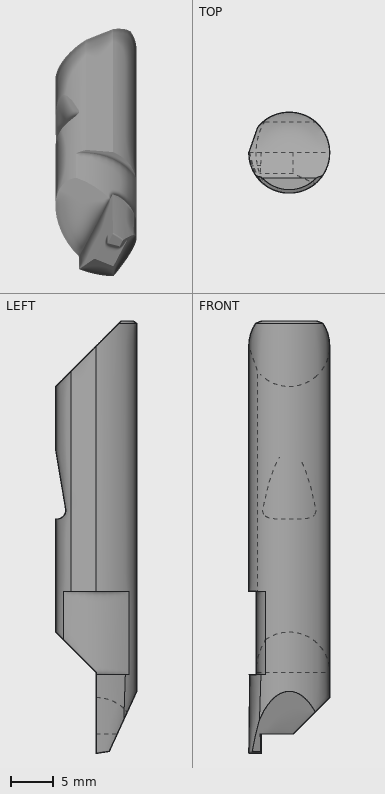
import cadquery as cq
import math

shank_diameter = 9.525
shank_radius = shank_diameter / 2
total_length = 50.8
margin = 5.0
reach = shank_radius + margin

rear_chamfer_height = 0.3
rear_chamfer_width = 0.42
rear_bevel_top_y = -2.95

notch_bottom_z = 27.55
notch_depth = 1.35
notch_ramp_angle = 9.5
notch_fillet = 1.0

flat_end_y = 2.98

neck_bottom_z = 9.27
neck_top_z = 19.05
neck_x = -3.9
neck_radius = 7.3

rake_y = 0.0
rake_runout_z = 9.5
heel_top_z = 7.3
heel_angle = 24.6
nose_bevel_top_z = 6.57
nose_z = 2.27
tip_width = 1.48
tip_side_relief = 3.0
tip_end_relief = 9.0
flank_clearance = 10.7
flank_radius = 10.0
flank_taper = 0.7
tip_corner_radius = 0.15


def tan(angle):
    return math.tan(math.radians(angle))


def cutter_along_x(points):
    """Prism across the full X width from an outline in (Y, Z)."""
    return cq.Workplane("YZ").polyline(points).close().extrude(reach, both=True)


def cutter_along_y(points):
    """Prism across the full Y width from an outline in (X, Z)."""
    return cq.Workplane("XZ").polyline(points).close().extrude(reach, both=True)


def cutter_along_z(points, bottom, top):
    """Prism from an outline in (X, Y) between two heights."""
    base = cq.Workplane("XY").workplane(offset=bottom)
    return base.polyline(points).close().extrude(top - bottom)


def make_shank():
    """Round bar with a chamfered rear end."""
    shank = cq.Workplane("XY").circle(shank_radius).extrude(total_length)
    return shank.faces(">Z").chamfer(rear_chamfer_height, rear_chamfer_width)


def rear_bevel():
    """45 degree bevel across the rear end, rising towards -Y."""
    bevel_end_z = total_length - (reach - rear_bevel_top_y)
    return cutter_along_x([
        (rear_bevel_top_y - margin, total_length + margin),
        (reach, total_length + margin),
        (reach, bevel_end_z),
    ])


def clamping_notch():
    """Ramped notch with a square lower shoulder and a rounded root."""
    floor_y = shank_radius - notch_depth
    ramp_rise = reach - floor_y
    notch = cutter_along_x([
        (floor_y, notch_bottom_z),
        (reach, notch_bottom_z),
        (reach, notch_bottom_z + ramp_rise / tan(notch_ramp_angle)),
    ])
    return notch.edges("|X and <Y").fillet(notch_fillet)


def side_flat():
    """Flat from the -X crest of the shank round to flat_end_y."""
    end_x = -math.sqrt(shank_radius**2 - flat_end_y**2)
    outline = [(-shank_radius, 0), (end_x, flat_end_y), (-shank_radius, flat_end_y)]
    return cutter_along_z(outline, neck_top_z, total_length)


def outside_of_cylinder(centre_x, centre_y, radius, bottom, top):
    """Everything on the -X side of a cylindrical face that bulges towards -X."""
    base = cq.Workplane("XY").workplane(offset=bottom)
    block = base.moveTo(-reach, 0).rect(2 * reach, 2 * reach).extrude(top - bottom)
    return block.cut(base.moveTo(centre_x, centre_y).circle(radius).extrude(top - bottom))


def neck_relief():
    """Shallow convex recess on the -X side between head and shank."""
    return outside_of_cylinder(neck_x + neck_radius, 0, neck_radius, neck_bottom_z, neck_top_z)


def rake_cut():
    """Removes the +Y half of the head, with a 45 degree run-out into the neck."""
    return cutter_along_x([
        (rake_y, -margin),
        (rake_y, rake_runout_z),
        (reach, rake_runout_z + reach - rake_y),
        (reach, -margin),
    ])


def heel_bevel():
    """Slopes the -Y side of the head in towards the tip."""
    bottom_y = -shank_radius + (heel_top_z + margin) * tan(heel_angle)
    return cutter_along_x([
        (-shank_radius, heel_top_z), (bottom_y, -margin), (-shank_radius, -margin),
    ])


def nose_cut():
    """Leaves the narrow tip standing below the nose, with a 45 degree bevel on +X."""
    bevel_end_x = shank_radius - (nose_bevel_top_z - nose_z)
    return cutter_along_y([
        (-shank_radius + tip_width, -margin),
        (-shank_radius + tip_width, nose_z),
        (bevel_end_x, nose_z),
        (shank_radius, nose_bevel_top_z),
        (reach, nose_bevel_top_z),
        (reach, -margin),
    ])


def tip_side_cut():
    """Side relief on the +X face of the tip."""
    edge_x = -shank_radius + tip_width
    relieved_x = edge_x - reach * tan(tip_side_relief)
    return cutter_along_z([(edge_x, 0), (relieved_x, -reach), (edge_x, -reach)], 0, nose_z)


def tip_end_cut():
    """End relief: the bottom face of the tip rises towards -Y."""
    return cutter_along_x([(0, 0), (-reach, reach * tan(tip_end_relief)), (-reach, 0)])


def flank_cut():
    """Convex flank that starts at the cutting edge with the clearance angle."""
    clearance = math.radians(flank_clearance)
    centre_x = -shank_radius + flank_radius * math.cos(clearance)
    centre_y = flank_radius * math.sin(clearance)
    flank = outside_of_cylinder(centre_x, centre_y, flank_radius, 0, neck_bottom_z)
    return flank.rotate((-shank_radius, 0, 0), (-shank_radius, 1, 0), flank_taper)


def round_tip_corner(body):
    """Round the edge between the flank and the end face of the tip."""
    corner = cq.selectors.NearestToPointSelector((-shank_radius, -tip_width / 2, 0))
    return body.edges(corner).fillet(tip_corner_radius)


result = make_shank()
for cutter in (
    rear_bevel(),
    clamping_notch(),
    side_flat(),
    neck_relief(),
    rake_cut(),
    heel_bevel(),
    nose_cut(),
    tip_side_cut(),
    tip_end_cut(),
    flank_cut(),
):
    result = result.cut(cutter)
result = round_tip_corner(result)